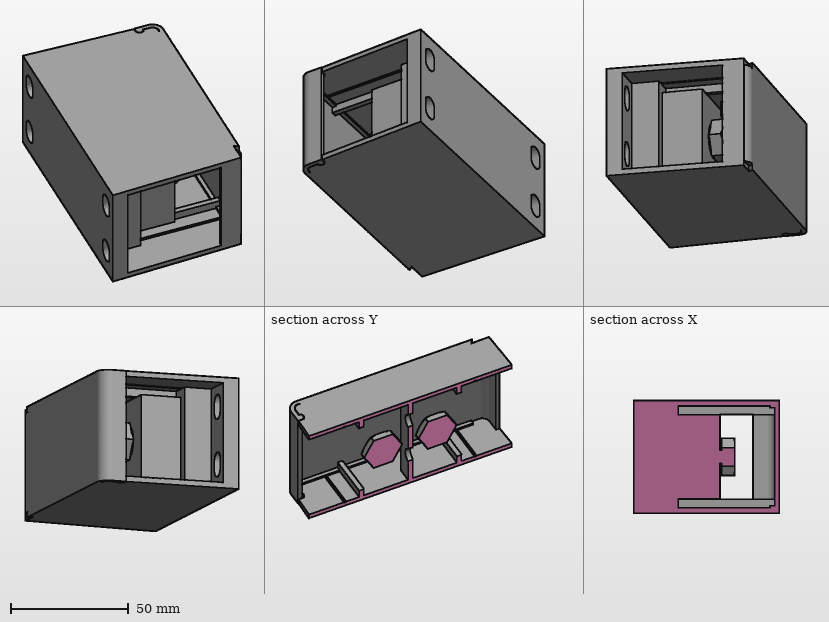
import cadquery as cq
import math


LENGTH = 100.0
DEPTH = 62.0
HEIGHT = 48.0

END_WALL = 2.4
FRONT_WALL = 7.0
LID_THICKNESS = 2.0
HOUSING_DEPTH = DEPTH - LID_THICKNESS
SIDE_TAPER = 2.15

LID_EDGE_Y = 50.7
LID_OUTER_X = -LENGTH / 2 + 1.6
LID_CORNER_RADIUS = 5.0
LID_INNER_X = LID_OUTER_X + LID_THICKNESS
LID_INNER_RADIUS = LID_CORNER_RADIUS - LID_THICKNESS
BEAD_RADIUS = 1.6
BEAD_CENTRE_X = LID_INNER_X - 0.2
BEAD_CENTRE_Y = LID_EDGE_Y + BEAD_RADIUS
SEAM_END_X = -LENGTH / 2 + 7.1
SEAM_WIDTH = 0.2
SEAM_DEPTH = END_WALL
HOOK_OVERRUN = 2.0

LID_END_X = 46.4
END_RELIEF_BACK_X = 40.9
END_RELIEF_FRONT_X = 39.3
LID_END_LENGTH = 3.6
LID_END_RADIUS = 7.0

FAR_WALL_INNER_X = 46.4
FAR_WALL_FILLET = 3.5

LIP_THICKNESS = 2.0
LIP_HEIGHT = 0.8

SLOT_SPACING_X = 85.0
SLOT_SPACING_Z = 25.0
SLOT_LENGTH = 10.6
SLOT_WIDTH = 7.1

BASE_BACK_Y = 19.0
BASE_HALF_LENGTH = 35.0
CORE_BACK_Y = 36.8
CORE_HALF_LENGTH = 30.1
CORE_CLEARANCE = 6.0
RIB_X = 24.6
RIB_THICKNESS = 2.4

GROOVE_X = 31.7
GROOVE_WIDTH = 0.9
GROOVE_DEPTH = 0.3

DIVIDER_BACK_Y = 46.9
DIVIDER_THICKNESS = 2.4
DIVIDER_HOLE_RADIUS = 3.6
DIVIDER_HOLE_Y = 39.0
DIVIDER_HOLE_HEIGHTS = (16.6, 36.4)

NUT_X = 13.0
NUT_ACROSS_FLATS = 16.0
NUT_BACK_Y = 43.1
NUT_CHAMFER = 0.5
WASHER_THICKNESS = 0.6
WASHER_RADIUS = 7.5

CAVITY_HEIGHT = HEIGHT - 2 * END_WALL
MID_Z = HEIGHT / 2


def box(x_range, y_range, z_range):
    """Box between the given limits on each axis."""
    size = [high - low for low, high in (x_range, y_range, z_range)]
    corner = (x_range[0], y_range[0], z_range[0])
    return cq.Workplane("XY").box(*size, centered=False).translate(corner)


def mirrored_z(body):
    """Body together with its copy about the mid height."""
    return body.union(body.mirror("XY", (0, 0, MID_Z)))


def hook_outline(end_x):
    """Outline of the hooked lid edge, running along the back to end_x."""
    diagonal = math.sqrt(0.5)
    outer_centre_x = LID_OUTER_X + LID_CORNER_RADIUS
    centre_y = DEPTH - LID_CORNER_RADIUS
    bead_top_y = BEAD_CENTRE_Y + math.sqrt(BEAD_RADIUS**2 - (LID_INNER_X - BEAD_CENTRE_X) ** 2)
    return (
        cq.Workplane("XY")
        .moveTo(LID_OUTER_X, LID_EDGE_Y)
        .lineTo(LID_OUTER_X, centre_y)
        .threePointArc(
            (outer_centre_x - LID_CORNER_RADIUS * diagonal, centre_y + LID_CORNER_RADIUS * diagonal),
            (outer_centre_x, DEPTH),
        )
        .lineTo(end_x, DEPTH)
        .lineTo(end_x, HOUSING_DEPTH)
        .lineTo(outer_centre_x, HOUSING_DEPTH)
        .threePointArc(
            (outer_centre_x - LID_INNER_RADIUS * diagonal, centre_y + LID_INNER_RADIUS * diagonal),
            (LID_INNER_X, centre_y),
        )
        .lineTo(LID_INNER_X, bead_top_y)
        .threePointArc(
            (BEAD_CENTRE_X + BEAD_RADIUS, BEAD_CENTRE_Y),
            (BEAD_CENTRE_X, LID_EDGE_Y),
        )
        .close()
    )


def make_housing():
    """Tapered tray, open at the back and through both sides."""
    front_half = LENGTH / 2
    back_half = front_half - SIDE_TAPER
    edge_half = front_half - SIDE_TAPER * LID_EDGE_Y / HOUSING_DEPTH
    block = (
        cq.Workplane("XY")
        .polyline([
            (-front_half, 0),
            (front_half, 0),
            (back_half, HOUSING_DEPTH),
            (LID_INNER_X, HOUSING_DEPTH),
            (LID_INNER_X, LID_EDGE_Y),
            (-edge_half, LID_EDGE_Y),
        ])
        .close()
        .extrude(HEIGHT)
    )
    opening = box(
        (-LENGTH, LENGTH),
        (FRONT_WALL, HOUSING_DEPTH),
        (END_WALL, HEIGHT - END_WALL),
    )
    far_wall = (
        cq.Workplane("XY")
        .moveTo(FAR_WALL_INNER_X, LID_EDGE_Y)
        .lineTo(FAR_WALL_INNER_X, HOUSING_DEPTH - FAR_WALL_FILLET)
        .radiusArc((FAR_WALL_INNER_X - FAR_WALL_FILLET, HOUSING_DEPTH), -FAR_WALL_FILLET)
        .lineTo(back_half, HOUSING_DEPTH)
        .lineTo(edge_half, LID_EDGE_Y)
        .close()
        .extrude(HEIGHT)
    )
    return block.cut(opening).union(far_wall)


def make_lid():
    """Back plate, hooked at -X with beads in the end walls only, and reduced to a rounded tab at +X."""
    hook_and_plate = hook_outline(END_RELIEF_FRONT_X + LID_THICKNESS).extrude(HEIGHT)
    bead_relief = box(
        (LID_INNER_X, BEAD_CENTRE_X + 2 * BEAD_RADIUS),
        (LID_EDGE_Y, BEAD_CENTRE_Y + BEAD_RADIUS),
        (END_WALL, HEIGHT - END_WALL),
    )
    end_relief = (
        cq.Workplane("XY")
        .polyline([
            (END_RELIEF_BACK_X, DEPTH),
            (END_RELIEF_FRONT_X, HOUSING_DEPTH),
            (LID_END_X, HOUSING_DEPTH),
            (LID_END_X, DEPTH),
        ])
        .close()
        .extrude(HEIGHT)
    )
    tab = (
        cq.Workplane("XY")
        .workplane(offset=END_WALL)
        .moveTo(END_RELIEF_FRONT_X, HOUSING_DEPTH)
        .lineTo(LID_END_X, HOUSING_DEPTH)
        .radiusArc((LID_END_X - LID_END_LENGTH, DEPTH), -LID_END_RADIUS)
        .lineTo(END_RELIEF_FRONT_X, DEPTH)
        .close()
        .extrude(CAVITY_HEIGHT)
    )
    lip = box(
        (LID_INNER_X, END_RELIEF_FRONT_X),
        (HOUSING_DEPTH - LIP_THICKNESS, HOUSING_DEPTH),
        (END_WALL, END_WALL + LIP_HEIGHT),
    )
    lid = hook_and_plate.cut(bead_relief).cut(end_relief)
    return lid.union(tab).union(mirrored_z(lip))


def make_seams():
    """Narrow gaps around the hook through the upper and lower walls."""
    end_x = SEAM_END_X + HOOK_OVERRUN
    widened = hook_outline(end_x).offset2D(SEAM_WIDTH).extrude(SEAM_DEPTH)
    seam = widened.cut(hook_outline(end_x).extrude(SEAM_DEPTH))
    seam = seam.intersect(box((-LENGTH, SEAM_END_X), (0, DEPTH), (0, SEAM_DEPTH)))
    return mirrored_z(seam)


def make_slots():
    """Four upright slots through the front wall."""
    return (
        cq.Workplane("XZ")
        .center(0, MID_Z)
        .rect(SLOT_SPACING_X, SLOT_SPACING_Z, forConstruction=True)
        .vertices()
        .slot2D(SLOT_LENGTH, SLOT_WIDTH, 90)
        .extrude(-FRONT_WALL)
    )


def make_support():
    """Stepped terminal block with ribs along the upper and lower walls."""
    base = box(
        (-BASE_HALF_LENGTH, BASE_HALF_LENGTH),
        (FRONT_WALL, BASE_BACK_Y),
        (END_WALL, HEIGHT - END_WALL),
    )
    core = box(
        (-CORE_HALF_LENGTH, CORE_HALF_LENGTH),
        (BASE_BACK_Y, CORE_BACK_Y),
        (CORE_CLEARANCE, HEIGHT - CORE_CLEARANCE),
    )
    support = base.union(core)
    for outer_x in (-RIB_X, RIB_X - RIB_THICKNESS):
        rib = box(
            (outer_x, outer_x + RIB_THICKNESS),
            (BASE_BACK_Y, HOUSING_DEPTH),
            (END_WALL, CORE_CLEARANCE),
        )
        support = support.union(mirrored_z(rib))
    return support


def make_divider():
    """Central plate with two round holes."""
    half = DIVIDER_THICKNESS / 2
    plate = box((-half, half), (CORE_BACK_Y, DIVIDER_BACK_Y), (END_WALL, HEIGHT - END_WALL))
    holes = (
        cq.Workplane("YZ")
        .pushPoints([(DIVIDER_HOLE_Y, z) for z in DIVIDER_HOLE_HEIGHTS])
        .circle(DIVIDER_HOLE_RADIUS)
        .extrude(DIVIDER_THICKNESS, both=True)
    )
    core_top = box((-LENGTH, LENGTH), (0, CORE_BACK_Y), (0, HEIGHT))
    return plate.cut(holes.cut(core_top))


def make_nut(x):
    """Hexagon nut on its washer face, corners pointing along X."""
    across_corners = NUT_ACROSS_FLATS / math.cos(math.pi / 6)
    seat_y = CORE_BACK_Y + WASHER_THICKNESS
    height = NUT_BACK_Y - seat_y
    hexagon = cq.Workplane("XZ").polygon(6, across_corners).extrude(-height)
    turned = cq.Workplane("XZ").circle(across_corners / 2).extrude(-height).faces(">Y").chamfer(
        NUT_CHAMFER, 2 * NUT_CHAMFER
    )
    washer = cq.Workplane("XZ").circle(WASHER_RADIUS).extrude(WASHER_THICKNESS)
    return hexagon.intersect(turned).union(washer).translate((x, seat_y, MID_Z))


def make_wall_grooves():
    """Narrow grooves across the upper and lower inner walls near each side."""
    grooves = cq.Workplane("XY")
    for outer_x in (-GROOVE_X, GROOVE_X - GROOVE_WIDTH):
        groove = box(
            (outer_x, outer_x + GROOVE_WIDTH),
            (BASE_BACK_Y, HOUSING_DEPTH - LIP_THICKNESS),
            (END_WALL - GROOVE_DEPTH, END_WALL),
        )
        grooves = grooves.add(mirrored_z(groove))
    return grooves.combine()


result = make_housing().union(make_lid()).union(make_support()).union(make_divider())
for side in (-1, 1):
    result = result.union(make_nut(side * NUT_X))
result = result.cut(make_slots()).cut(make_wall_grooves()).cut(make_seams())